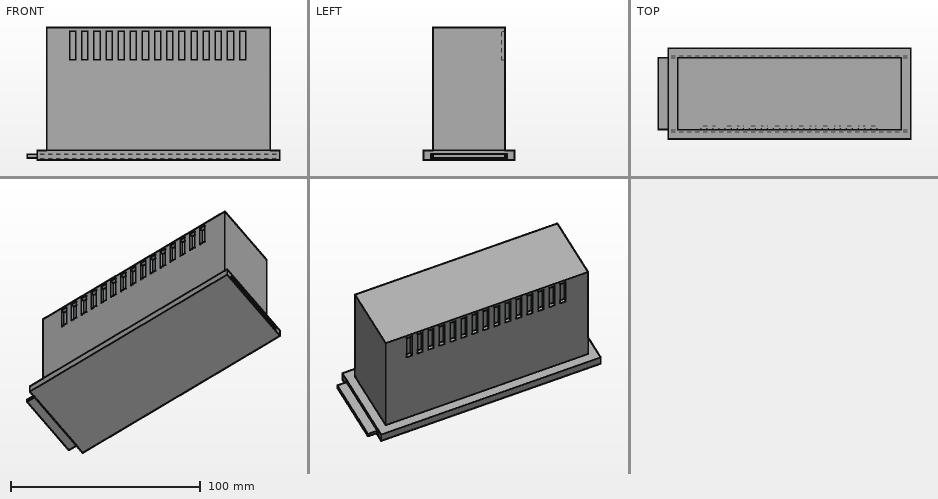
import cadquery as cq

total_length = 133.3
total_width = 48.0
total_height = 70.0

flange_length = 128.0
flange_height = 5.0

block_width = 38.0
flange_margin = (total_width - block_width) / 2
block_length = flange_length - 2 * flange_margin

vent_count = 15
vent_width = 3.2
vent_height = 15.0
vent_depth = 2.0
vent_pitch = 6.4
vent_end_margin = 12.1
vent_top_margin = 2.0
vent_row_start = flange_margin + vent_end_margin

card_overhang = total_length - flange_length
card_width = block_width
card_height = 2.0
card_bottom = 1.0
slot_side_gap = 1.0
slot_bottom_gap = 0.3
slot_top_gap = 0.1


def box_at(x_start, y_center, z_start, length, width, height):
    """Box from its -X end and underside, centred on y_center."""
    return (
        cq.Workplane("XY")
        .box(length, width, height, centered=(False, True, False))
        .translate((x_start, y_center, z_start))
    )


def make_vent(index):
    """Cutter for one ventilation slot, as deep as the slot itself."""
    x_start = vent_row_start + index * vent_pitch
    y_center = -block_width / 2 + vent_depth / 2
    z_start = total_height - vent_top_margin - vent_height
    return box_at(x_start, y_center, z_start, vent_width, vent_depth, vent_height)


def make_card_slot():
    """Cutter for the card slot, with clearance on all sides of the card."""
    slot_width = card_width + 2 * slot_side_gap
    slot_height = card_height + slot_bottom_gap + slot_top_gap
    return box_at(0, 0, card_bottom - slot_bottom_gap, flange_length, slot_width, slot_height)


def make_housing():
    """Flange and block in one piece, with the card slot and the vents cut out."""
    flange = box_at(0, 0, 0, flange_length, total_width, flange_height)
    block_height = total_height - flange_height
    block = box_at(flange_margin, 0, flange_height, block_length, block_width, block_height)
    housing = flange.union(block).cut(make_card_slot())
    for index in range(vent_count):
        housing = housing.cut(make_vent(index))
    return housing


def make_card():
    """Flat card, flush with the +X end of the flange and sticking out at -X."""
    return box_at(-card_overhang, 0, card_bottom, total_length, card_width, card_height)


housing = make_housing()
card = make_card()

result = cq.Compound.makeCompound([housing.val(), card.val()])